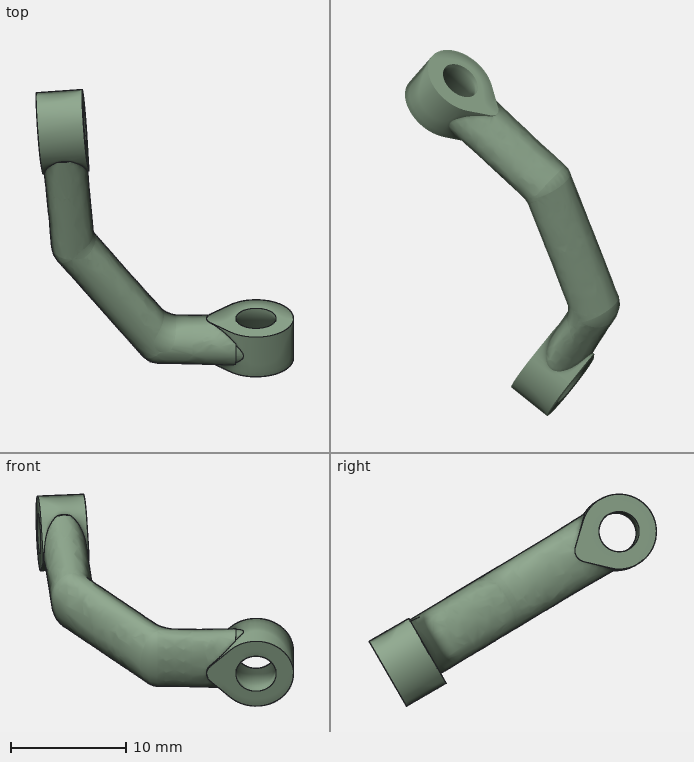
import cadquery as cq
import math

TILT = 30.0
ARM_EXTRA_TILT = 1.0
ARM_DROP = 0.22

EYE_DIAMETER = 6.5
EYE_RADIUS = EYE_DIAMETER / 2
HOLE_DIAMETER = 3.5
EYE_WIDTH = 4.0
NOSE_REACH = 4.3
NOSE_RADIUS = 1.0

ARM_HEIGHT = 5.4
ARM_THICKNESS = 3.75
INNER_BEND_RADIUS = 2.0
ELBOW_INSET = 0.02

COLLAR_START = 5.5
COLLAR_END = 1.75
COLLAR_HEIGHT = 5.55
COLLAR_THICKNESS = 3.95

LOWER_EYE = (19.1, 0.0)
LOWER_BEND = (10.6, 0.15)
UPPER_BEND = (3.22, 9.8)
UPPER_EYE = (2.27, 21.4)

LOWER_EYE_RISE = -0.6
UPPER_EYE_RISE = 0.05


def heading(start, end):
    """Angle in degrees from start to end in the XY plane."""
    return math.degrees(math.atan2(end[1] - start[1], end[0] - start[0]))


def place(shape, point, angle, rise=0.0):
    """Turn a shape about Z, then move its origin to a layout point."""
    return shape.rotate((0, 0, 0), (0, 0, 1), angle).translate((*point, rise))


def arm_segment(start, end):
    """Straight elliptical rod between two centreline points."""
    length = math.dist(start, end)
    rod = cq.Workplane("YZ").ellipse(ARM_THICKNESS / 2, ARM_HEIGHT / 2).extrude(length)
    return place(rod, start, heading(start, end))


def bend_cap(corner):
    """Ellipsoid that rounds the outside of a bend, with its long axis along Z."""
    cap = (
        cq.Workplane("XZ")
        .moveTo(0, -ARM_HEIGHT / 2)
        .ellipseArc(ARM_THICKNESS / 2, ARM_HEIGHT / 2, -90, 90, startAtCurrent=True)
        .close()
        .revolve(360, (0, 0, 0), (0, 1, 0))
    )
    return place(cap, corner, 0)


def bend_elbow(before, corner, after):
    """Curved rod, tangent to both segments, that rounds the inside of a right-hand bend."""
    start_heading = heading(before, corner)
    turn = start_heading - heading(corner, after)
    radius = INNER_BEND_RADIUS + ARM_THICKNESS / 2
    setback = radius * math.tan(math.radians(turn / 2))
    elbow = (
        cq.Workplane("YZ", origin=(-setback, 0, 0))
        .ellipse(ARM_THICKNESS / 2 - ELBOW_INSET, ARM_HEIGHT / 2 - ELBOW_INSET)
        .revolve(turn, (-radius, 0, 0), (-radius, -1, 0))
    )
    return place(elbow, corner, start_heading)


def collar():
    """Flare that widens the arm toward an eye centred at the origin, arm along +X."""
    return (
        cq.Workplane("YZ", origin=(COLLAR_END, 0, 0))
        .ellipse(COLLAR_THICKNESS / 2, COLLAR_HEIGHT / 2)
        .workplane(offset=COLLAR_START - COLLAR_END)
        .ellipse(ARM_THICKNESS / 2, ARM_HEIGHT / 2)
        .loft(ruled=True)
    )


def eye_blank():
    """Drop-shaped lug with its nose toward +X and its axis along Y."""
    nose_center = NOSE_REACH - NOSE_RADIUS
    cosine = (EYE_RADIUS - NOSE_RADIUS) / nose_center
    sine = math.sqrt(1 - cosine**2)
    nose_tangent = (nose_center + NOSE_RADIUS * cosine, NOSE_RADIUS * sine)
    eye_tangent = (EYE_RADIUS * cosine, EYE_RADIUS * sine)
    return (
        cq.Workplane("XZ", origin=(0, EYE_WIDTH / 2, 0))
        .moveTo(eye_tangent[0], -eye_tangent[1])
        .lineTo(nose_tangent[0], -nose_tangent[1])
        .threePointArc((NOSE_REACH, 0), nose_tangent)
        .lineTo(*eye_tangent)
        .threePointArc((-EYE_RADIUS, 0), (eye_tangent[0], -eye_tangent[1]))
        .close()
        .extrude(EYE_WIDTH)
    )


def eye_bore():
    """Cylinder that clears the hole through an eye."""
    return cq.Workplane("XZ", origin=(0, EYE_WIDTH / 2, 0)).circle(HOLE_DIAMETER / 2).extrude(EYE_WIDTH)


lower_angle = heading(LOWER_EYE, LOWER_BEND)
upper_angle = heading(UPPER_EYE, UPPER_BEND)

bends = ((LOWER_EYE, LOWER_BEND, UPPER_BEND), (LOWER_BEND, UPPER_BEND, UPPER_EYE))
arm = arm_segment(LOWER_BEND, UPPER_BEND)
arm = arm.union(arm_segment(LOWER_EYE, LOWER_BEND))
arm = arm.union(arm_segment(UPPER_BEND, UPPER_EYE))
for before, corner, after in bends:
    arm = arm.union(bend_elbow(before, corner, after), clean=False)
for before, corner, after in bends:
    arm = arm.union(bend_cap(corner), clean=False)
for center, angle in ((LOWER_EYE, lower_angle), (UPPER_EYE, upper_angle)):
    arm = arm.union(place(collar(), center, angle), clean=False)
link = arm.rotate((0, 0, 0), (1, 0, 0), ARM_EXTRA_TILT).translate((0, 0, -ARM_DROP))

eyes = ((LOWER_EYE, 180.0, LOWER_EYE_RISE), (UPPER_EYE, upper_angle, UPPER_EYE_RISE))
for center, angle, rise in eyes:
    link = link.union(place(eye_blank(), center, angle, rise), clean=False)
    link = link.cut(place(eye_bore(), center, angle, rise), clean=False)

result = link.rotate((0, 0, 0), (1, 0, 0), TILT)